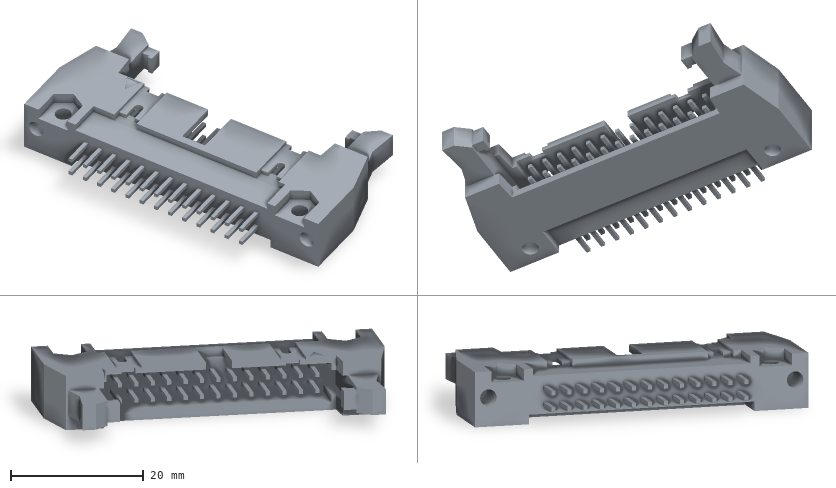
import cadquery as cq


length = 52.6
thickness = 8.5
half_length = length / 2
rim_y = 13.75
shoulder_y = 10.05
tower_top_y = 17.25
tower_outer_x = 24.3
tower_inner_top_x = 18.4
tower_inner_base_x = 18.1

pins_per_row = 13
pin_span = 30.45
pitch = pin_span / (pins_per_row - 1)
pin_size = 0.65
pin_tail = 4.45
pin_tip_y = 13.45
pin_mid_z = thickness / 2

ledge_half_length = 17.15
ledge_depth = 1.1
ledge_y = 5.0
groove_width = 0.15
groove_depth = 0.05
wall_face_y = ledge_y + groove_width
relief_half_length = 17.8
relief_depth = 1.45

wall = ledge_depth + groove_depth
wall_z = thickness - wall
cavity_floor_y = 7.35
cavity_half_length = 17.35

key_width = 4.05
key_bottom_y = 6.35

channel_spacing = 10 * pitch
channel_mid_x = pitch / 2
channel_centres = [channel_mid_x - channel_spacing / 2, channel_mid_x + channel_spacing / 2]
channel_width = 4.0
channel_depth = 0.45
channel_bottom_y = 6.5
notch_width = 2.15
notch_y = 12.8
window_width = 1.45
window_top_y = 9.55

mark_half_width = 1.2
mark_base_y = 13.5
mark_tip_y = 11.0
mark_depth = 0.15

hole_diameter = 2.6
mount_x = 21.15
mount_y = 2.9
pocket_width = 5.15
pocket_shoulder_y = 4.35
pocket_peak_y = 5.9
pocket_depth = 1.8
end_hole_x = 24.2
end_hole_z = 4.45
end_hole_depth = 5.25

lever_width = 4.0
lever_top_y = 25.8
lever_inner_x = 19.2
lever_root_x = 23.95
lever_waist_x = 22.9
lever_waist_y = 20.85
lever_top_outer_x = 23.4
lever_top_inner_x = 21.35
hook_width = 2.95
hook_x = 17.25
hook_top_y = 24.05
hook_under_y = 22.3
lip_x = 18.0
lip_y = 21.95


def block(x_min, x_max, y_min, y_max, z_min, z_max):
    size = (x_max - x_min, y_max - y_min, z_max - z_min)
    return cq.Workplane("XY").box(*size, centered=False).translate((x_min, y_min, z_min))


def prism(points, z_min, z_max):
    return cq.Workplane("XY").workplane(offset=z_min).polyline(points).close().extrude(z_max - z_min)


def both_ends(shape):
    return shape.union(shape.mirror("YZ"))


def housing_blank():
    right_side = [
        (half_length, 0),
        (half_length, shoulder_y),
        (tower_outer_x, tower_top_y),
        (tower_inner_top_x, tower_top_y),
        (tower_inner_base_x, rim_y),
    ]
    left_side = [(-x, y) for x, y in reversed(right_side)]
    return prism(right_side + left_side, 0, thickness)


def ledge():
    x = ledge_half_length
    step = block(-x, x, 0, ledge_y, thickness - ledge_depth, thickness)
    groove = block(-x, x, ledge_y, wall_face_y, wall_z, thickness)
    return step.union(groove)


def relief():
    return block(-relief_half_length, relief_half_length, 0, ledge_y, 0, relief_depth)


def cavity():
    return block(-cavity_half_length, cavity_half_length, cavity_floor_y, rim_y, wall, wall_z)


def lever_slots():
    z_min = (thickness - lever_width) / 2
    return block(-lever_inner_x, lever_inner_x, cavity_floor_y, tower_top_y, z_min, z_min + lever_width)


def key_slot():
    return block(-key_width / 2, key_width / 2, key_bottom_y, rim_y, wall_z, thickness)


def channel(x):
    left = x - channel_width / 2
    right = x + channel_width / 2
    window_radius = window_width / 2
    arch_y = window_top_y - window_radius

    groove = block(left, right, channel_bottom_y, rim_y, thickness - channel_depth, thickness)
    foot = block(left, right, ledge_y, channel_bottom_y, wall_z, thickness)
    notch = block(x - notch_width / 2, x + notch_width / 2, notch_y, rim_y, wall_z, thickness)
    window = block(x - window_radius, x + window_radius, channel_bottom_y, arch_y, wall_z, thickness)
    arch = cq.Workplane("XY").workplane(offset=wall_z).center(x, arch_y).circle(window_radius).extrude(wall)
    return groove.union(foot).union(notch).union(window).union(arch)


def pin_one_mark():
    x = -pin_span / 2
    triangle = [(x - mark_half_width, mark_base_y), (x + mark_half_width, mark_base_y), (x, mark_tip_y)]
    return prism(triangle, thickness - mark_depth, thickness)


def mounting_cuts():
    left = mount_x - pocket_width / 2
    right = mount_x + pocket_width / 2
    outline = [
        (left, 0),
        (right, 0),
        (right, pocket_shoulder_y),
        (mount_x, pocket_peak_y),
        (left, pocket_shoulder_y),
    ]
    pocket = prism(outline, thickness - pocket_depth, thickness)
    through = cq.Workplane("XY").center(mount_x, mount_y).circle(hole_diameter / 2).extrude(thickness)
    end_hole = (
        cq.Workplane("XZ")
        .center(end_hole_x, end_hole_z)
        .circle(hole_diameter / 2)
        .extrude(-end_hole_depth)
    )
    return both_ends(pocket.union(through).union(end_hole))


def levers():
    mid_z = thickness / 2
    arm_outline = [
        (lever_inner_x, tower_top_y),
        (lever_inner_x, hook_top_y),
        (lever_top_inner_x, lever_top_y),
        (lever_top_outer_x, lever_top_y),
        (lever_waist_x, lever_waist_y),
        (lever_root_x, tower_top_y),
    ]
    hook_outline = [
        (lever_inner_x, hook_top_y),
        (hook_x, hook_top_y),
        (hook_x, lip_y),
        (lip_x, lip_y),
        (lip_x, hook_under_y),
        (lever_inner_x, hook_under_y),
    ]
    arm = prism(arm_outline, mid_z - lever_width / 2, mid_z + lever_width / 2)
    hook = prism(hook_outline, mid_z - hook_width / 2, mid_z + hook_width / 2)
    return both_ends(arm.union(hook))


def pins():
    pin_length = pin_tail + pin_tip_y
    return (
        cq.Workplane("XZ", origin=(0, -pin_tail, pin_mid_z))
        .rarray(pitch, pitch, pins_per_row, 2)
        .rect(pin_size, pin_size)
        .extrude(-pin_length)
    )


housing = housing_blank()
for cut in [ledge(), relief(), cavity(), lever_slots(), key_slot(), pin_one_mark(), mounting_cuts()]:
    housing = housing.cut(cut)
for centre in channel_centres:
    housing = housing.cut(channel(centre))

result = housing.union(levers()).union(pins())